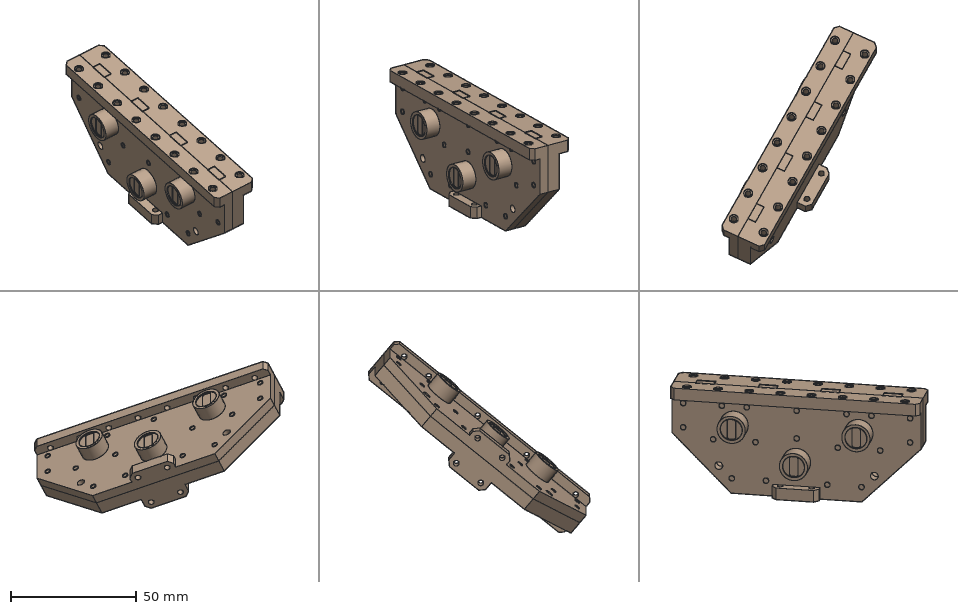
import cadquery as cq

length = 101.6
height = 44.5
corner_cut = 24.2
front_web = 4.0
back_web = 5.6

front_reach = 7.9
back_reach = 11.2
flange_thickness = 5.0
tab_length = 19.1
flange_chamfer = 1.6
tab_chamfer = 1.9

bolt_pitch = 12.7
bolts_per_row = 8
bolt_diameter = 2.2
bolt_recess_diameter = 3.6
bolt_recess_depth = 0.5
bolt_edge = 2.8

notch_count = 4
notch_pitch = 2 * bolt_pitch
notch_length = 7.5
notch_width = 3.4
notch_depth = 0.3

boss_spacing = 25.4
boss_diameter = 11.5
boss_tip = 10.3
side_boss_z = 29.3
middle_boss_z = 15.2
face_recess_diameter = 8.9
face_recess_depth = 0.5
slot_width = 3.5
slot_height = 8.3
slot_corner_radius = 0.9
slot_depth = 0.3
boss_centres = [(-boss_spacing, side_boss_z), (0, middle_boss_z), (boss_spacing, side_boss_z)]

dimple_diameter = 2.2
dimple_depth = 0.4
top_row_z = 36.9
end_column_x = 46.2
above_boss_offset = 5.1
below_boss_offset = 8.6
below_boss_z = 22.4
bottom_row_z = 6.3
paired_dimples = [
    (end_column_x, top_row_z),
    (end_column_x, 26.6),
    (boss_spacing + above_boss_offset, top_row_z),
    (boss_spacing - above_boss_offset, top_row_z),
    (boss_spacing + below_boss_offset, below_boss_z),
    (boss_spacing - below_boss_offset, below_boss_z),
    (26.4, bottom_row_z),
    (12.5, bottom_row_z),
]
centre_dimples = [(0, top_row_z), (0, 25.1)]

mount_hole_x = 31.7
mount_hole_z = 11.4
mount_hole_diameter = 3.1


def extrude_along_y(sketch, y_start, y_end):
    """Extrude a sketch drawn on the XZ plane between two y positions."""
    return sketch(cq.Workplane("XZ", origin=(0, y_start, 0))).extrude(y_start - y_end)


def web(y_start, y_end):
    """Plate outline with sloping lower corners."""
    half = length / 2
    foot = half - corner_cut
    outline = [(-half, height), (half, height), (half, corner_cut), (foot, 0), (-foot, 0), (-half, corner_cut)]
    return extrude_along_y(lambda plane: plane.polyline(outline).close(), y_start, y_end)


def ledge(ledge_length, z_bottom, reach, chamfer_size, side):
    """Bar from the joint outwards, with its two outer corners chamfered; side is -1 front, 1 back."""
    return (
        cq.Workplane("XY", origin=(0, side * reach / 2, z_bottom))
        .box(ledge_length, reach, flange_thickness, centered=(True, True, False))
        .faces("<Y" if side < 0 else ">Y")
        .edges("|Z")
        .chamfer(chamfer_size)
    )


def bolt_row(count, y):
    """Vertical bolt positions, evenly spaced about the centre plane."""
    return [((i - (count - 1) / 2) * bolt_pitch, y) for i in range(count)]


def half_plate(web_thickness, reach, side):
    """One half of the plate: web, flange, tab, bolt holes and mounting holes."""
    flange_bottom = height - flange_thickness
    body = (
        web(0, side * web_thickness)
        .union(ledge(length, flange_bottom, reach, flange_chamfer, side))
        .union(ledge(tab_length, 0, reach, tab_chamfer, side))
    )
    bolt_y = side * (reach - bolt_edge)
    flange_bolts = bolt_row(bolts_per_row, bolt_y)
    tab_bolts = bolt_row(2, bolt_y)
    flange_holes = (
        cq.Workplane("XY", origin=(0, 0, flange_bottom))
        .pushPoints(flange_bolts)
        .circle(bolt_diameter / 2)
        .extrude(flange_thickness)
    )
    flange_recesses = (
        cq.Workplane("XY", origin=(0, 0, height))
        .pushPoints(flange_bolts)
        .circle(bolt_recess_diameter / 2)
        .extrude(-bolt_recess_depth)
    )
    tab_holes = cq.Workplane("XY").pushPoints(tab_bolts).circle(bolt_diameter / 2).extrude(flange_thickness)
    mount_points = [(-mount_hole_x, mount_hole_z), (mount_hole_x, mount_hole_z)]
    mount_holes = extrude_along_y(
        lambda plane: plane.pushPoints(mount_points).circle(mount_hole_diameter / 2), 0, side * web_thickness
    )
    return body.cut(flange_holes).cut(flange_recesses).cut(tab_holes).cut(mount_holes)


def add_bosses(body):
    """Round bosses on the front face, each with a recessed face and a screwdriver slot."""
    recess_floor = -boss_tip + face_recess_depth
    slot_floor = recess_floor + slot_depth
    for x, z in boss_centres:
        boss = extrude_along_y(
            lambda plane: plane.center(x, z).circle(boss_diameter / 2), -front_web, -boss_tip
        )
        recess = extrude_along_y(
            lambda plane: plane.center(x, z).circle(face_recess_diameter / 2), recess_floor, -boss_tip
        )
        slot = extrude_along_y(
            lambda plane: plane.center(x, z).rect(slot_width, slot_height), slot_floor, recess_floor
        )
        slot = slot.edges("|Y").fillet(slot_corner_radius)
        body = body.union(boss).cut(recess).cut(slot)
    return body


def cut_dimples(body):
    """Shallow round recesses in the front face of the web."""
    mirrored = [(-x, z) for x, z in paired_dimples]
    points = paired_dimples + mirrored + centre_dimples
    dimples = extrude_along_y(
        lambda plane: plane.pushPoints(points).circle(dimple_diameter / 2),
        -front_web + dimple_depth,
        -front_web,
    )
    return body.cut(dimples)


def cut_notches(body):
    """Shallow rectangular notches in the top face, starting at the joint."""
    first_x = -(notch_count - 1) / 2 * notch_pitch
    for i in range(notch_count):
        notch = cq.Workplane("XY", origin=(first_x + i * notch_pitch, 0, height - notch_depth)).box(
            notch_length, notch_width, notch_depth, centered=(True, False, False)
        )
        body = body.cut(notch)
    return body


front_half = cut_dimples(add_bosses(half_plate(front_web, front_reach, -1)))
back_half = cut_notches(half_plate(back_web, back_reach, 1))

result = cq.Compound.makeCompound([front_half.val(), back_half.val()])